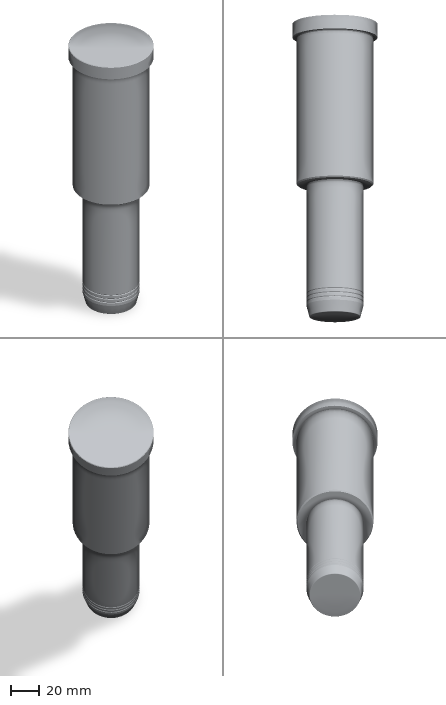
import cadquery as cq

total_length = 211.0
head_height = 10.0
pilot_length = 95.0

head_diameter = 60.0
body_diameter = 54.0
pilot_diameter = 40.0
tip_diameter = 35.9

head_chamfer = 0.5
body_chamfer = 0.8
tip_fillet = 0.5

relief_width = 1.3
relief_depth = 0.5

taper_length = 8.0
shoulder_relief_width = 1.5
shoulder_relief_depth = 0.5
groove_count = 3
first_groove_height = 10.1
groove_pitch = 3.0
groove_width = 1.0
groove_depth = 0.5


def cylinder(diameter, bottom, height):
    """Solid cylinder on the Z axis."""
    return cq.Workplane("XY").workplane(offset=bottom).circle(diameter / 2).extrude(height)


def ring_groove(diameter, bottom, width, depth):
    """Ring that cuts a square groove of the given depth into a cylinder."""
    return cylinder(diameter, bottom, width).cut(cylinder(diameter - 2 * depth, bottom, width))


def vee_groove(diameter, bottom, width, depth):
    """Ring with a triangular section that cuts a V groove into a cylinder."""
    outer_radius = diameter / 2
    section = [
        (outer_radius, bottom),
        (outer_radius - depth, bottom + width / 2),
        (outer_radius, bottom + width),
    ]
    return cq.Workplane("XZ").polyline(section).close().revolve(360, (0, 0, 0), (0, 1, 0))


head_bottom = total_length - head_height
head = cylinder(head_diameter, head_bottom, head_height).faces(">Z").edges().chamfer(head_chamfer)

body = cylinder(body_diameter, pilot_length, head_bottom - pilot_length)
body = body.faces("<Z").edges().chamfer(body_chamfer)

tip = (
    cq.Workplane("XY")
    .circle(tip_diameter / 2)
    .workplane(offset=taper_length)
    .circle(pilot_diameter / 2)
    .loft()
    .faces("<Z")
    .edges()
    .fillet(tip_fillet)
)
pilot = cylinder(pilot_diameter, taper_length, pilot_length - taper_length)

result = head.union(body).union(pilot).union(tip)

result = result.cut(vee_groove(body_diameter, head_bottom - relief_width, relief_width, relief_depth))
result = result.cut(
    ring_groove(
        pilot_diameter, pilot_length - shoulder_relief_width, shoulder_relief_width, shoulder_relief_depth
    )
)

for index in range(groove_count):
    groove_bottom = first_groove_height + index * groove_pitch
    result = result.cut(vee_groove(pilot_diameter, groove_bottom, groove_width, groove_depth))